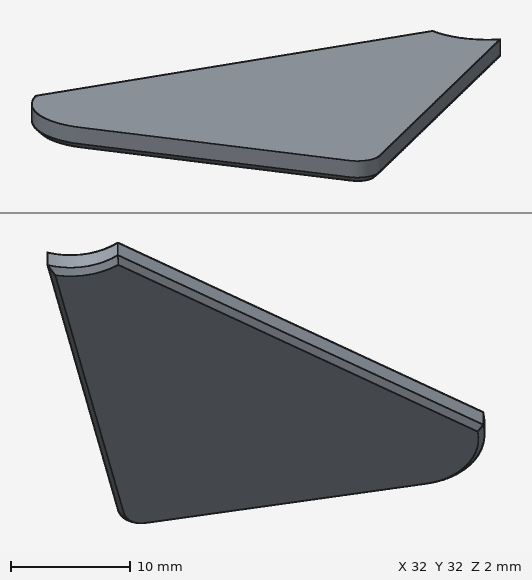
import cadquery as cq
import math

side = 32.0
thickness = 2.0
gauge_radius = 6.0
corner_radius = 2.0
chamfer_size = 0.5

arc_depth = gauge_radius * (1 - math.cos(math.radians(30)))
concave_start = (side, side)
concave_middle = (side - gauge_radius / 2, side - arc_depth)
concave_end = (side - gauge_radius, side)

quarter_inset = 1 - math.cos(math.radians(45))
convex_inset = gauge_radius * quarter_inset
corner_inset = corner_radius * quarter_inset

plate = (
    cq.Workplane("XY")
    .moveTo(gauge_radius, 0)
    .lineTo(side - corner_radius, 0)
    .threePointArc((side - corner_inset, corner_inset), (side, corner_radius))
    .lineTo(*concave_start)
    .threePointArc(concave_middle, concave_end)
    .lineTo(0, gauge_radius)
    .threePointArc((convex_inset, convex_inset), (gauge_radius, 0))
    .close()
    .extrude(thickness)
)

result = plate.faces("<Z").edges().chamfer(chamfer_size)